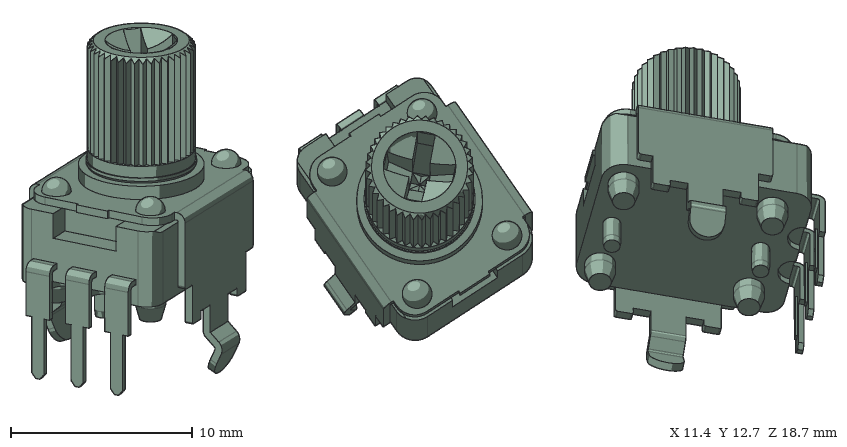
import cadquery as cq
import math

SHAFT_TOP = 18.7
KNURL_BOTTOM = 12.38
COLLAR_TOP = 11.7
COLLAR_WIDEST = 11.52
FLANGE_TOP = 11.39
PLATE_TOP = 10.6
BODY_BOTTOM = 5.7

SHEET = 0.45
PLATE_BOTTOM = PLATE_TOP - SHEET
PLATE_HALF_X = 4.3
PLATE_HALF_Y = 5.33
PLATE_CORNER = 1.22
PLATE_TONGUE_WIDTH = 1.98
CLIP_OUTER_X = 4.95
CLIP_BEND_INNER_RADIUS = 0.07

CLIP_HALF_WIDTH = 3.8
CLIP_SHOULDER_Z = 6.13
CLIP_SHOULDER_RADIUS = 0.17
LEG_HALF_WIDTH = 3.0
FOOT_BOTTOM = 3.81
FOOT_WIDTH = 1.0
FOOT_CORNER = 0.11
FOOT_NOTCH_TOP = 4.3
SPRING_HALF_WIDTH = 1.0

SPRING_KNEE_Z = 2.7
SPRING_ELBOW_X = 5.83
SPRING_ELBOW_Z = 1.93
ELBOW_INNER_RADIUS = 0.15

BODY_HALF_X = 4.4
BODY_FRONT_Y = -6.3
BODY_BACK_Y = 5.5
BODY_FRONT_CORNER = 1.01
BODY_BACK_CORNER = 1.23
BODY_TOP_CHAMFER = 0.19
WINDOW_HEIGHT = 1.45
WINDOW_DEPTH = 1.3
FRONT_WINDOW_WIDTH = 4.0
BACK_WINDOW_WIDTH = 3.0

RIVET_X = 3.0
RIVET_Y = 4.2
RIVET_HEAD_RADIUS = 0.82
RIVET_HEAD_TOP = 11.37
PEG_RADIUS = 0.86
PEG_TAPER_TOP = 5.1
PEG_TIP_RADIUS = 0.62
PEG_BOTTOM = 4.23
CENTRE_PEG_RADIUS = 0.5
CENTRE_PEG_TIP_RADIUS = 0.45
CENTRE_PEG_BOTTOM = 3.83

LEAD_PITCH = 2.5
LEAD_THICKNESS = 0.32
LEAD_FRONT_Y = -7.15
LEAD_TOP = 7.25
LEAD_BEND_RADIUS = 0.49
LEAD_WIDTH = 1.5
LEAD_SHOULDER_Z = 4.17
PIN_WIDTH = 0.79
PIN_BOTTOM = 0.56
PIN_POINT_WIDTH = 0.26
PIN_POINT_HEIGHT = 0.32
LEAD_RIB_HEIGHT = 0.11
LEAD_RIB_WIDTH = 0.3
LEAD_RIB_TOP = 5.07
LEAD_RIB_BOTTOM = 1.7
LEAD_ROOT_DEPTH = 0.56
RELIEF_RADIUS = 0.82
RELIEF_HEIGHT = 0.43

SHAFT_RADIUS = 3.0
FLANGE_RADIUS = 3.48
COLLAR_RADIUS = 3.07
KNURL_ROOT_RADIUS = 2.73
KNURL_TEETH = 40
SHAFT_END_RADIUS = 2.65
SHAFT_CHAMFER_HEIGHT = 0.3

RECESS_RADIUS = 2.0
BOWL_SPHERE_RADIUS = 2.8
SLOT_FLOOR_SLOPE = math.tan(math.radians(45))
SLOT_WIDTH = 1.0
SLOT_END_DEPTH = 2.15
SLOT_END_DRAFT = 0.1


def unit(start, end):
    length = math.dist(start, end)
    return ((end[0] - start[0]) / length, (end[1] - start[1]) / length)


def offset_path(path, distance):
    """Offset an open path to the right of its direction, with mitred corners."""
    directions = [unit(a, b) for a, b in zip(path, path[1:])]
    before = [directions[0]] + directions
    after = directions + [directions[-1]]
    moved = []
    for (x, y), (ux, uy), (vx, vy) in zip(path, before, after):
        scale = distance / (1 + ux * vx + uy * vy)
        moved.append((x + scale * (uy + vy), y - scale * (ux + vx)))
    return moved


def rounded_polygon(plane, corners):
    """Closed outline through (x, y, radius) corners; a zero radius stays sharp."""
    outline = cq.Workplane(plane)
    count = len(corners)
    for i, (x, y, radius) in enumerate(corners):
        to_last = unit((x, y), corners[i - 1][:2])
        to_next = unit((x, y), corners[(i + 1) % count][:2])
        half_angle = math.acos(to_last[0] * to_next[0] + to_last[1] * to_next[1]) / 2
        trim = radius / math.tan(half_angle)
        entry = (x + trim * to_last[0], y + trim * to_last[1])
        outline = outline.moveTo(*entry) if i == 0 else outline.lineTo(*entry)
        if radius > 0:
            bisector = unit((0, 0), (to_last[0] + to_next[0], to_last[1] + to_next[1]))
            reach = radius / math.sin(half_angle) - radius
            middle = (x + reach * bisector[0], y + reach * bisector[1])
            leave = (x + trim * to_next[0], y + trim * to_next[1])
            outline = outline.threePointArc(middle, leave)
    return outline.close()


def block(x_size, y_min, y_max, z_min, z_max):
    """Box centred on X between the given Y and Z limits."""
    return (
        cq.Workplane("XY", origin=(0, (y_min + y_max) / 2, z_min))
        .rect(x_size, y_max - y_min)
        .extrude(z_max - z_min)
    )


def make_body():
    body = rounded_polygon(
        cq.Plane.XY((0, 0, BODY_BOTTOM)),
        [
            (-BODY_HALF_X, BODY_FRONT_Y, BODY_FRONT_CORNER),
            (BODY_HALF_X, BODY_FRONT_Y, BODY_FRONT_CORNER),
            (BODY_HALF_X, BODY_BACK_Y, BODY_BACK_CORNER),
            (-BODY_HALF_X, BODY_BACK_Y, BODY_BACK_CORNER),
        ],
    ).extrude(PLATE_BOTTOM - BODY_BOTTOM)

    bevelled = (
        cq.Workplane("XZ")
        .center(0, (BODY_BOTTOM + PLATE_BOTTOM) / 2)
        .rect(2 * BODY_HALF_X, PLATE_BOTTOM - BODY_BOTTOM)
        .extrude(BODY_BACK_Y - BODY_FRONT_Y, both=True)
        .edges("|Y and >Z")
        .chamfer(BODY_TOP_CHAMFER)
    )
    body = body.intersect(bevelled)

    window_floor = PLATE_BOTTOM - WINDOW_HEIGHT
    front_end = BODY_FRONT_Y + WINDOW_DEPTH
    back_end = BODY_BACK_Y - WINDOW_DEPTH
    body = body.cut(block(FRONT_WINDOW_WIDTH, BODY_FRONT_Y, front_end, window_floor, PLATE_BOTTOM))
    body = body.cut(block(BACK_WINDOW_WIDTH, back_end, BODY_BACK_Y, window_floor, PLATE_BOTTOM))

    reliefs = (
        cq.Workplane("XY", origin=(0, BODY_FRONT_Y, BODY_BOTTOM))
        .pushPoints([(-LEAD_PITCH / 2, 0), (LEAD_PITCH / 2, 0)])
        .circle(RELIEF_RADIUS)
        .extrude(RELIEF_HEIGHT)
    )
    return body.cut(reliefs)


def make_peg(x, y, radius, taper_top, tip_radius, bottom):
    profile = [
        (0, BODY_BOTTOM),
        (radius, BODY_BOTTOM),
        (radius, taper_top),
        (tip_radius, bottom),
        (0, bottom),
    ]
    peg = cq.Workplane("XZ").polyline(profile).close().revolve(360, (0, 0), (0, 1))
    return peg.translate((x, y, 0))


def make_pegs():
    pegs = cq.Workplane("XY")
    for y in (-RIVET_Y, RIVET_Y):
        for x in (-RIVET_X, RIVET_X):
            pegs = pegs.add(make_peg(x, y, PEG_RADIUS, PEG_TAPER_TOP, PEG_TIP_RADIUS, PEG_BOTTOM))
        pegs = pegs.add(
            make_peg(0, y, CENTRE_PEG_RADIUS, PEG_BOTTOM, CENTRE_PEG_TIP_RADIUS, CENTRE_PEG_BOTTOM)
        )
    return pegs.combine()


def make_plate():
    plate = (
        cq.Workplane("XY", origin=(0, 0, PLATE_BOTTOM))
        .rect(2 * PLATE_HALF_X, 2 * PLATE_HALF_Y)
        .extrude(SHEET)
        .edges("|Z")
        .fillet(PLATE_CORNER)
    )
    plate = plate.union(block(PLATE_TONGUE_WIDTH, -BODY_BACK_Y, BODY_BACK_Y, PLATE_BOTTOM, PLATE_TOP))
    heads = (
        cq.Workplane("XY", origin=(0, 0, RIVET_HEAD_TOP - RIVET_HEAD_RADIUS))
        .rect(2 * RIVET_X, 2 * RIVET_Y, forConstruction=True)
        .vertices()
        .sphere(RIVET_HEAD_RADIUS)
    )
    return plate.union(heads)


def make_clip():
    """Clip on the +X side: a bent strip trimmed to its outline, with a round tab end."""
    elbow = (SPRING_ELBOW_X, SPRING_ELBOW_Z)
    tip = (CLIP_OUTER_X, 0)
    along = unit(elbow, tip)
    round_centre = (tip[0] - SPRING_HALF_WIDTH * along[0], tip[1] - SPRING_HALF_WIDTH * along[1])
    outer = [
        (PLATE_HALF_X - SHEET, PLATE_TOP),
        (CLIP_OUTER_X, PLATE_TOP),
        (CLIP_OUTER_X, SPRING_KNEE_Z),
        elbow,
        round_centre,
    ]
    inner = offset_path(outer, SHEET)
    outer_radii = [0, CLIP_BEND_INNER_RADIUS + SHEET, 0, ELBOW_INNER_RADIUS + SHEET, 0]
    inner_radii = [0, CLIP_BEND_INNER_RADIUS, SHEET, ELBOW_INNER_RADIUS, 0]
    corners = [(x, z, r) for (x, z), r in zip(outer, outer_radii)]
    corners += [(x, z, r) for (x, z), r in zip(inner, inner_radii)][::-1]
    strip = rounded_polygon("XZ", corners).extrude(CLIP_HALF_WIDTH, both=True)

    half_outline = [
        (CLIP_HALF_WIDTH, PLATE_TOP, 0),
        (CLIP_HALF_WIDTH, CLIP_SHOULDER_Z, CLIP_SHOULDER_RADIUS),
        (LEG_HALF_WIDTH, CLIP_SHOULDER_Z, 0),
        (LEG_HALF_WIDTH, FOOT_BOTTOM, FOOT_CORNER),
        (LEG_HALF_WIDTH - FOOT_WIDTH, FOOT_BOTTOM, FOOT_CORNER),
        (LEG_HALF_WIDTH - FOOT_WIDTH, FOOT_NOTCH_TOP, 0),
        (SPRING_HALF_WIDTH, FOOT_NOTCH_TOP, 0),
        (SPRING_HALF_WIDTH, 0, 0),
    ]
    mirrored = [(-y, z, r) for y, z, r in reversed(half_outline)]
    clip = strip.intersect(rounded_polygon("YZ", half_outline + mirrored).extrude(2 * CLIP_OUTER_X))

    inward = (along[1], -along[0])
    end_plane = cq.Plane(
        origin=(round_centre[0], 0, round_centre[1]),
        xDir=(0, 1, 0),
        normal=(inward[0], 0, inward[1]),
    )
    round_end = (
        cq.Workplane(end_plane)
        .moveTo(-SPRING_HALF_WIDTH, 0)
        .threePointArc((0, SPRING_HALF_WIDTH), (SPRING_HALF_WIDTH, 0))
        .close()
        .extrude(SHEET)
    )
    return clip.union(round_end)


def make_lead(x):
    """Lead leaving the body forwards and bending down into a pin."""
    lead_back_y = LEAD_FRONT_Y + LEAD_THICKNESS
    root_y = BODY_FRONT_Y + LEAD_ROOT_DEPTH
    strip = rounded_polygon(
        "YZ",
        [
            (root_y, LEAD_TOP, 0),
            (LEAD_FRONT_Y, LEAD_TOP, LEAD_BEND_RADIUS),
            (LEAD_FRONT_Y, PIN_BOTTOM, 0),
            (lead_back_y, PIN_BOTTOM, 0),
            (lead_back_y, LEAD_TOP - LEAD_THICKNESS, LEAD_BEND_RADIUS - LEAD_THICKNESS),
            (root_y, LEAD_TOP - LEAD_THICKNESS, 0),
        ],
    ).extrude(LEAD_WIDTH / 2, both=True)
    half_outline = [
        (LEAD_WIDTH / 2, LEAD_TOP),
        (LEAD_WIDTH / 2, LEAD_SHOULDER_Z),
        (PIN_WIDTH / 2, LEAD_SHOULDER_Z),
        (PIN_WIDTH / 2, PIN_BOTTOM + PIN_POINT_HEIGHT),
        (PIN_POINT_WIDTH / 2, PIN_BOTTOM),
    ]
    mirrored = [(-half, z) for half, z in reversed(half_outline)]
    front = cq.Workplane("XZ").polyline(half_outline + mirrored).close().extrude(-2 * LEAD_FRONT_Y)
    rib = block(
        LEAD_RIB_WIDTH, lead_back_y, lead_back_y + LEAD_RIB_HEIGHT, LEAD_RIB_BOTTOM, LEAD_RIB_TOP
    )
    return strip.intersect(front).union(rib).translate((x, 0, 0))


def make_shaft():
    profile = [
        (0, PLATE_TOP),
        (FLANGE_RADIUS, PLATE_TOP),
        (FLANGE_RADIUS, FLANGE_TOP),
        (SHAFT_RADIUS, FLANGE_TOP),
        (COLLAR_RADIUS, COLLAR_WIDEST),
        (COLLAR_RADIUS, COLLAR_TOP),
        (SHAFT_RADIUS, COLLAR_TOP),
        (SHAFT_RADIUS, KNURL_BOTTOM),
        (0, KNURL_BOTTOM),
    ]
    base = cq.Workplane("XZ").polyline(profile).close().revolve(360, (0, 0), (0, 1))

    star = []
    for i in range(2 * KNURL_TEETH):
        angle = math.pi * i / KNURL_TEETH
        radius = SHAFT_RADIUS if i % 2 else KNURL_ROOT_RADIUS
        star.append((radius * math.cos(angle), radius * math.sin(angle)))
    knurl = (
        cq.Workplane("XY", origin=(0, 0, KNURL_BOTTOM))
        .polyline(star)
        .close()
        .extrude(SHAFT_TOP - KNURL_BOTTOM)
    )
    envelope = [
        (0, KNURL_BOTTOM),
        (SHAFT_RADIUS, KNURL_BOTTOM),
        (SHAFT_RADIUS, SHAFT_TOP - SHAFT_CHAMFER_HEIGHT),
        (SHAFT_END_RADIUS, SHAFT_TOP),
        (0, SHAFT_TOP),
    ]
    knurl = knurl.intersect(
        cq.Workplane("XZ").polyline(envelope).close().revolve(360, (0, 0), (0, 1))
    )
    return base.union(knurl)


def make_cross_recess():
    sphere_rise = math.sqrt(BOWL_SPHERE_RADIUS**2 - RECESS_RADIUS**2)
    bowl = cq.Workplane("XY", origin=(0, 0, SHAFT_TOP + sphere_rise)).sphere(BOWL_SPHERE_RADIUS)
    half_slot = SLOT_WIDTH / 2
    end_top = math.sqrt(RECESS_RADIUS**2 - half_slot**2)
    end_bottom = end_top - SLOT_END_DRAFT
    end_z = SHAFT_TOP - SLOT_END_DEPTH
    middle_z = end_z - (end_bottom - half_slot) * SLOT_FLOOR_SLOPE
    half_profile = [(end_top, SHAFT_TOP), (end_bottom, end_z), (half_slot, middle_z)]
    mirrored = [(-r, z) for r, z in reversed(half_profile)]
    slot = cq.Workplane("XZ").polyline(half_profile + mirrored).close().extrude(half_slot, both=True)

    valley_z = middle_z - half_slot * SLOT_FLOOR_SLOPE
    valley = (
        cq.Workplane("YZ")
        .polyline([(-half_slot, middle_z), (half_slot, middle_z), (0, valley_z)])
        .close()
        .extrude(half_slot, both=True)
    )
    arm = slot.union(valley)
    recess = bowl
    for angle in (45, 135):
        recess = recess.union(arm.rotate((0, 0, 0), (0, 0, 1), angle))
    return recess


clip = make_clip()
result = make_body().union(make_pegs()).union(make_plate())
result = result.union(clip).union(clip.mirror("YZ"))
for lead_x in (-LEAD_PITCH, 0, LEAD_PITCH):
    result = result.union(make_lead(lead_x))
result = result.union(make_shaft()).cut(make_cross_recess())